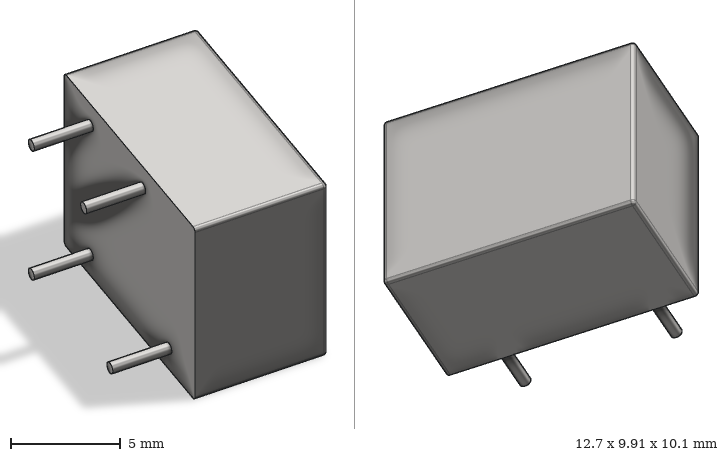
import cadquery as cq

body_width = 12.7
body_height = 10.14
body_depth = 6.86
edge_radius = 0.2

grid = 2.54
pin_diameter = 0.58
pin_length = 3.05
outer_offset = 1.5 * grid
inner_offset = 0.5 * grid
pin_positions = [
    (-outer_offset, outer_offset),
    (inner_offset, outer_offset),
    (-outer_offset, -outer_offset),
    (outer_offset, -outer_offset),
]


def make_body():
    """Block with every edge rounded except those around the front face."""
    block = cq.Workplane("XY").box(
        body_width, body_depth, body_height, centered=(True, False, True)
    )
    return block.edges("|Y or >Y").fillet(edge_radius)


def make_pins():
    """Pins as (X, Z) circles on the front face, extruded toward -Y."""
    return (
        cq.Workplane("XZ")
        .pushPoints(pin_positions)
        .circle(pin_diameter / 2)
        .extrude(pin_length)
    )


result = make_body().union(make_pins())